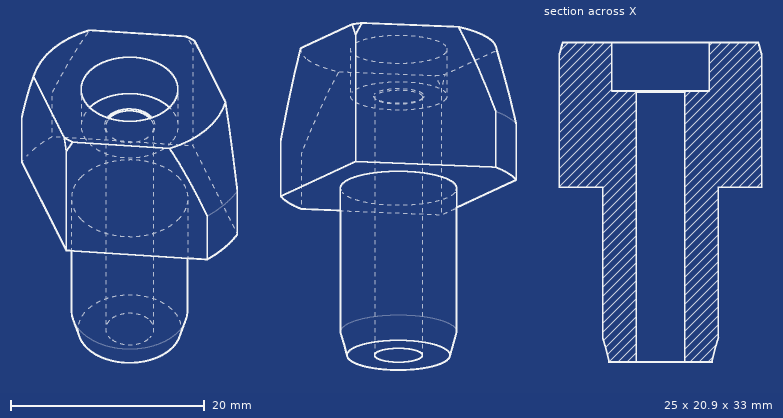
import cadquery as cq
import math

total_height = 33.0
head_height = 14.98
head_diameter = 25.0
shank_height = total_height - head_height

diamond_half_y = 10.45
corner_half_y = 2.5
taper_angle = math.radians(15)
taper_height = 8.95

shank_diameter = 12.0
tip_height = 2.55

counterbore_diameter = 10.0
counterbore_depth = 5.0
hole_diameter = 4.95
hole_chamfer = 0.13


def turned_head():
    """Round blank whose upper part tapers inward toward the top."""
    radius = head_diameter / 2
    top_radius = radius - taper_height * math.tan(taper_angle)
    return (
        cq.Workplane("XZ")
        .moveTo(0, 0)
        .lineTo(radius, 0)
        .lineTo(radius, head_height - taper_height)
        .lineTo(top_radius, head_height)
        .lineTo(0, head_height)
        .close()
        .revolve(360, (0, 0), (0, 1))
    )


def diamond_prism():
    """Full diamond whose sides pass through the corners of the round ends."""
    corner_x = math.sqrt((head_diameter / 2) ** 2 - corner_half_y ** 2)
    diamond_half_x = corner_x * diamond_half_y / (diamond_half_y - corner_half_y)
    return (
        cq.Workplane("XY")
        .polyline([
            (diamond_half_x, 0),
            (0, diamond_half_y),
            (-diamond_half_x, 0),
            (0, -diamond_half_y),
        ])
        .close()
        .extrude(head_height)
    )


def shank():
    """Cylinder below the head with a tapered lead-in at its tip."""
    radius = shank_diameter / 2
    tip_radius = radius - tip_height * math.tan(taper_angle)
    return (
        cq.Workplane("XZ")
        .moveTo(0, 0)
        .lineTo(radius, 0)
        .lineTo(radius, tip_height - shank_height)
        .lineTo(tip_radius, -shank_height)
        .lineTo(0, -shank_height)
        .close()
        .revolve(360, (0, 0), (0, 1))
    )


def stepped_bore():
    """Cutter for the through hole, its counterbore and the chamfer at the step."""
    hole_radius = hole_diameter / 2
    counterbore_radius = counterbore_diameter / 2
    step_z = head_height - counterbore_depth
    return (
        cq.Workplane("XZ")
        .moveTo(0, -shank_height)
        .lineTo(hole_radius, -shank_height)
        .lineTo(hole_radius, step_z - hole_chamfer)
        .lineTo(hole_radius + hole_chamfer, step_z)
        .lineTo(counterbore_radius, step_z)
        .lineTo(counterbore_radius, head_height)
        .lineTo(0, head_height)
        .close()
        .revolve(360, (0, 0), (0, 1))
    )


head = turned_head().intersect(diamond_prism())
result = head.union(shank()).cut(stepped_bore())